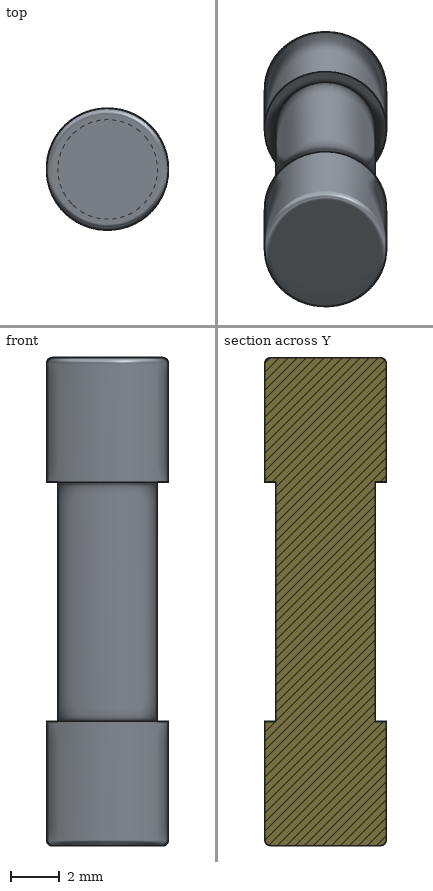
import cadquery as cq

total_length = 20.0
cap_diameter = 5.0
cap_length = 5.1
cap_edge_radius = 0.25
tube_diameter = 4.08


def end_cap(bottom_z, outer_edge):
    """Cap cylinder rounded only on the rim facing away from the tube."""
    cap = cq.Workplane("XY").workplane(offset=bottom_z).circle(cap_diameter / 2).extrude(cap_length)
    return cap.edges(outer_edge).fillet(cap_edge_radius)


tube = cq.Workplane("XY").circle(tube_diameter / 2).extrude(total_length / 2, both=True)
lower_cap = end_cap(-total_length / 2, "<Z")
upper_cap = end_cap(total_length / 2 - cap_length, ">Z")

result = tube.union(lower_cap).union(upper_cap)